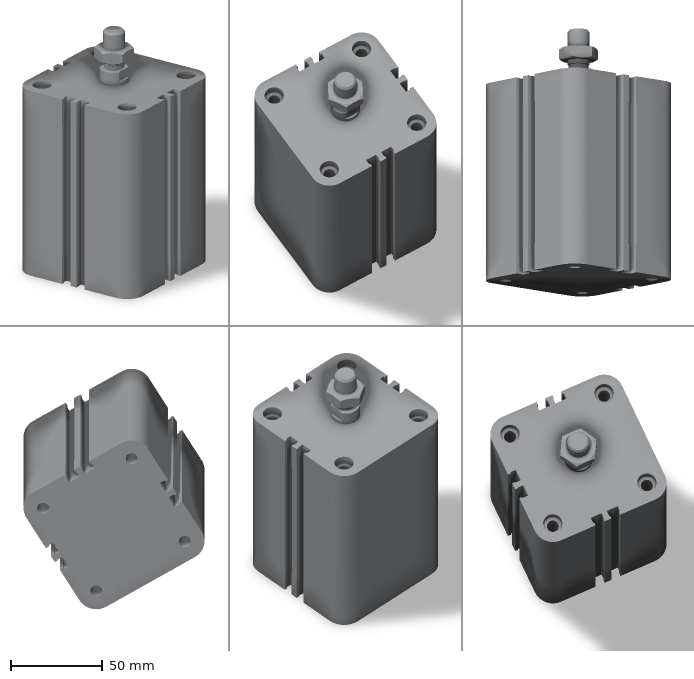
import cadquery as cq
import math

BODY_SIZE = 78.0
CORNER_RADIUS = 10.7
CAP_HEIGHT = 15.0
BODY_HEIGHT = 109.0
UPPER_CAP_BOTTOM = BODY_HEIGHT - CAP_HEIGHT
BARREL_HEIGHT = UPPER_CAP_BOTTOM - CAP_HEIGHT

SCREW_HOLE_DIAMETER = 6.5
SCREW_HOLE_OFFSET = BODY_SIZE / 2 - CORNER_RADIUS
COUNTERBORE_DIAMETER = 10.5
COUNTERBORE_DEPTH = 5.0

RIB_WIDTH = 4.0
SLOT_OPENING = 5.4
SLOT_DEPTH = 5.0
LIP_THICKNESS = 1.8
SLOT_OUTER_UNDERCUT = 0.7
SLOT_RIB_UNDERCUT = 0.4
SLOT_SIDE_ANGLES = (-90, 0, 90)
BARREL_MOUTH_FILLET = 0.2
BARREL_FLOOR_FILLET = 1.0

TOTAL_HEIGHT = 139.0
ROD_DIAMETER = 16.0
ROD_BOTTOM = UPPER_CAP_BOTTOM
ROD_STEP_LEVEL = 109.8
ROD_STEP_TAPER = 0.4
SHOULDER_DIAMETER = 15.8
SHOULDER_TOP = 116.9
SHOULDER_CHAMFER = 0.3
FLATS_BOTTOM = 111.3
FLATS_WIDTH = 13.0
THREAD_DIAMETER = 12.0
THREAD_BOTTOM = 119.8
THREAD_RUNOUT = 0.4
THREAD_TIP_DIAMETER = 10.0
THREAD_TIP_CHAMFER_HEIGHT = 1.3
NECK_DIAMETER = 10.7

NUT_BOTTOM = 122.0
NUT_HEIGHT = 6.8
NUT_ACROSS_FLATS = 19.0
NUT_FACE_DIAMETER = 18.6
NUT_CHAMFER_ANGLE = 30.0
HEX_TURN = 30.0


def slot_pair(bottom, height):
    """Two T-shaped slots either side of a centre rib, on the -Y side."""
    side = -BODY_SIZE / 2
    rib_edge = RIB_WIDTH / 2
    outer_edge = rib_edge + SLOT_OPENING
    pair = cq.Workplane("XY").workplane(offset=bottom)
    pair = pair.polyline([
        (rib_edge, side),
        (outer_edge, side),
        (outer_edge, side + LIP_THICKNESS),
        (outer_edge + SLOT_OUTER_UNDERCUT, side + LIP_THICKNESS),
        (outer_edge + SLOT_OUTER_UNDERCUT, side + SLOT_DEPTH),
        (rib_edge - SLOT_RIB_UNDERCUT, side + SLOT_DEPTH),
        (rib_edge - SLOT_RIB_UNDERCUT, side + LIP_THICKNESS),
        (rib_edge, side + LIP_THICKNESS),
    ]).close().extrude(height)
    return pair.union(pair.mirror("YZ"))


def body_block(bottom, height):
    """Rounded square block with screw holes and slots along its whole height."""
    block = (
        cq.Workplane("XY")
        .workplane(offset=bottom)
        .rect(BODY_SIZE, BODY_SIZE)
        .extrude(height)
        .edges("|Z")
        .fillet(CORNER_RADIUS)
    )
    holes = screw_circles(bottom, SCREW_HOLE_DIAMETER).extrude(height)
    block = block.cut(holes)

    slots = slot_pair(bottom, height)
    for angle in SLOT_SIDE_ANGLES:
        block = block.cut(slots.rotate((0, 0, 0), (0, 0, 1), angle))
    return block


def screw_circles(level, diameter):
    """Circles on the four screw axes at the given level."""
    spacing = 2 * SCREW_HOLE_OFFSET
    return (
        cq.Workplane("XY")
        .workplane(offset=level)
        .rarray(spacing, spacing, 2, 2)
        .circle(diameter / 2)
    )


def make_lower_cap():
    """Plain end cap at the foot of the cylinder."""
    return body_block(0, CAP_HEIGHT)


def make_barrel():
    """Block with rounded slot mouths and outer floor corners."""
    barrel = body_block(CAP_HEIGHT, BARREL_HEIGHT)
    rib_edge = RIB_WIDTH / 2
    outer_edge = rib_edge + SLOT_OPENING
    rounded_edges = (
        (rib_edge, 0, BARREL_MOUTH_FILLET),
        (outer_edge, 0, BARREL_MOUTH_FILLET),
        (outer_edge + SLOT_OUTER_UNDERCUT, SLOT_DEPTH, BARREL_FLOOR_FILLET),
    )
    for angle in SLOT_SIDE_ANGLES:
        barrel = barrel.rotate((0, 0, 0), (0, 0, 1), -angle)
        for across, depth, radius in rounded_edges:
            for x in (-across, across):
                edge_middle = (x, depth - BODY_SIZE / 2, BODY_HEIGHT / 2)
                edge = cq.selectors.NearestToPointSelector(edge_middle)
                barrel = barrel.edges(edge).fillet(radius)
        barrel = barrel.rotate((0, 0, 0), (0, 0, 1), angle)
    return barrel


def make_upper_cap():
    """Cap with counterbored screw holes and a through hole for the rod."""
    cap = body_block(UPPER_CAP_BOTTOM, CAP_HEIGHT)
    cap = cap.cut(screw_circles(BODY_HEIGHT, COUNTERBORE_DIAMETER).extrude(-COUNTERBORE_DEPTH))
    rod_hole = (
        cq.Workplane("XY")
        .workplane(offset=UPPER_CAP_BOTTOM)
        .circle(ROD_DIAMETER / 2)
        .extrude(CAP_HEIGHT)
    )
    return cap.cut(rod_hole)


def make_rod():
    """Turned rod with wrench flats on +X and -X, an undercut neck and a threaded end."""
    rod = (
        cq.Workplane("XZ")
        .polyline([
            (0, ROD_BOTTOM),
            (ROD_DIAMETER / 2, ROD_BOTTOM),
            (ROD_DIAMETER / 2, ROD_STEP_LEVEL),
            (SHOULDER_DIAMETER / 2, ROD_STEP_LEVEL + ROD_STEP_TAPER),
            (SHOULDER_DIAMETER / 2, SHOULDER_TOP - SHOULDER_CHAMFER),
            (SHOULDER_DIAMETER / 2 - SHOULDER_CHAMFER, SHOULDER_TOP),
            (NECK_DIAMETER / 2, SHOULDER_TOP),
            (NECK_DIAMETER / 2, THREAD_BOTTOM - THREAD_RUNOUT),
            (THREAD_DIAMETER / 2, THREAD_BOTTOM),
            (THREAD_DIAMETER / 2, TOTAL_HEIGHT - THREAD_TIP_CHAMFER_HEIGHT),
            (THREAD_TIP_DIAMETER / 2, TOTAL_HEIGHT),
            (0, TOTAL_HEIGHT),
        ])
        .close()
        .revolve(360, (0, 0), (0, 1))
    )
    flats_height = SHOULDER_TOP - FLATS_BOTTOM
    between_flats = (
        cq.Workplane("XY")
        .workplane(offset=FLATS_BOTTOM)
        .rect(FLATS_WIDTH, ROD_DIAMETER)
        .extrude(flats_height)
    )
    removed = (
        cq.Workplane("XY")
        .workplane(offset=FLATS_BOTTOM)
        .circle(ROD_DIAMETER)
        .extrude(flats_height)
        .cut(between_flats)
    )
    return rod.cut(removed)


def make_nut():
    """Hex nut with two flats facing +X and -X, its corners chamfered top and bottom."""
    corner_radius = NUT_ACROSS_FLATS / math.sqrt(3)
    nut = (
        cq.Workplane("XY")
        .workplane(offset=NUT_BOTTOM)
        .polygon(6, 2 * corner_radius)
        .extrude(NUT_HEIGHT)
        .rotate((0, 0, 0), (0, 0, 1), HEX_TURN)
    )
    face_radius = NUT_FACE_DIAMETER / 2
    chamfer_height = (corner_radius - face_radius) * math.tan(math.radians(NUT_CHAMFER_ANGLE))
    nut_top = NUT_BOTTOM + NUT_HEIGHT
    chamfered_disc = (
        cq.Workplane("XZ")
        .polyline([
            (0, NUT_BOTTOM),
            (face_radius, NUT_BOTTOM),
            (corner_radius, NUT_BOTTOM + chamfer_height),
            (corner_radius, nut_top - chamfer_height),
            (face_radius, nut_top),
            (0, nut_top),
        ])
        .close()
        .revolve(360, (0, 0), (0, 1))
    )
    thread = (
        cq.Workplane("XY")
        .workplane(offset=NUT_BOTTOM)
        .circle(THREAD_DIAMETER / 2)
        .extrude(NUT_HEIGHT)
    )
    return nut.intersect(chamfered_disc).cut(thread)


lower_cap = make_lower_cap()
barrel = make_barrel()
upper_cap = make_upper_cap()
rod = make_rod()
nut = make_nut()

result = cq.Compound.makeCompound([
    lower_cap.val(),
    barrel.val(),
    upper_cap.val(),
    rod.val(),
    nut.val(),
])